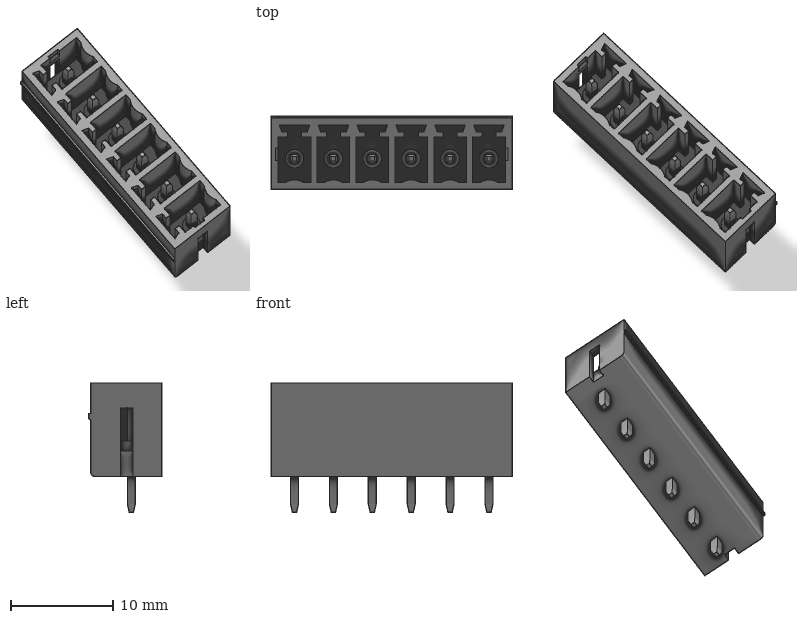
import cadquery as cq

PIN_COUNT = 6
PITCH = 3.81

LENGTH = 23.65
FRONT_Y = -3.0
BACK_Y = 4.0
HEIGHT = 9.2
FLOOR_Z = 2.5
BOTTOM_EDGE_RADIUS = 0.5

RIB_DEPTH = 0.2
RIB_TOP_Z = 6.2
RIB_HEIGHT = 0.6
RIB_CHAMFER = 0.1

CAVITY_WIDTH = 3.2
CAVITY_FRONT_Y = -2.35
CAVITY_BACK_Y = 2.14
FRONT_BULGE_WIDTH = 1.84
FRONT_BULGE_HEIGHT = 0.28
NECK_WIDTH = 1.4
NECK_BACK_Y = 2.64
KEYWAY_BACK_Y = 3.3
KEYWAY_NARROW_WIDTH = 2.5
KEYWAY_WIDE_WIDTH = 2.97

PIN_WIDTH = 0.8
PIN_TIP_WIDTH = 0.43
PIN_TIP_LENGTH = 0.85
PIN_BOTTOM_Z = -3.5
PIN_TOP_Z = 7.8
BOSS_DIAMETER = 1.8
BOSS_HEIGHT = 1.0

SLOT_WIDTH = 1.2
SLOT_CENTER_Y = 0.45
SLOT_TOP_Z = HEIGHT - 2.45
NOTCH_DEPTH = 0.24
NOTCH_DEEP_Z = HEIGHT - 1.1
NOTCH_END_Z = HEIGHT - 1.6

pin_positions = [(i - (PIN_COUNT - 1) / 2) * PITCH for i in range(PIN_COUNT)]
end_x = LENGTH / 2
end_wall_inner_x = pin_positions[-1] + CAVITY_WIDTH / 2


def make_housing():
    """Solid block with a rounded lower back edge and a full-length back rib."""
    block = (
        cq.Workplane("XY")
        .box(LENGTH, BACK_Y - FRONT_Y, HEIGHT, centered=(True, False, False))
        .translate((0, FRONT_Y, 0))
        .edges(">Y and <Z")
        .fillet(BOTTOM_EDGE_RADIUS)
    )
    rib_bottom_z = RIB_TOP_Z - RIB_HEIGHT
    rib_y = BACK_Y + RIB_DEPTH
    root_y = BACK_Y - RIB_DEPTH
    rib = (
        cq.Workplane("YZ", origin=(-end_x, 0, 0))
        .moveTo(root_y, RIB_TOP_Z)
        .lineTo(rib_y, RIB_TOP_Z)
        .lineTo(rib_y, rib_bottom_z + RIB_CHAMFER)
        .lineTo(rib_y - RIB_CHAMFER, rib_bottom_z)
        .lineTo(root_y, rib_bottom_z)
        .close()
        .extrude(LENGTH)
    )
    return block.union(rib)


def make_cavity(x):
    """Plug cavity with a bulged front wall and a dovetail keyway at the back."""
    half = CAVITY_WIDTH / 2
    half_bulge = FRONT_BULGE_WIDTH / 2
    half_neck = NECK_WIDTH / 2
    half_narrow = KEYWAY_NARROW_WIDTH / 2
    half_wide = KEYWAY_WIDE_WIDTH / 2
    return (
        cq.Workplane("XY", origin=(x, 0, FLOOR_Z))
        .moveTo(-half, CAVITY_FRONT_Y)
        .lineTo(-half_bulge, CAVITY_FRONT_Y)
        .threePointArc((0, CAVITY_FRONT_Y + FRONT_BULGE_HEIGHT), (half_bulge, CAVITY_FRONT_Y))
        .lineTo(half, CAVITY_FRONT_Y)
        .lineTo(half, CAVITY_BACK_Y)
        .lineTo(half_neck, CAVITY_BACK_Y)
        .lineTo(half_neck, NECK_BACK_Y)
        .lineTo(half_narrow, NECK_BACK_Y)
        .lineTo(half_wide, KEYWAY_BACK_Y)
        .lineTo(-half_wide, KEYWAY_BACK_Y)
        .lineTo(-half_narrow, NECK_BACK_Y)
        .lineTo(-half_neck, NECK_BACK_Y)
        .lineTo(-half_neck, CAVITY_BACK_Y)
        .lineTo(-half, CAVITY_BACK_Y)
        .close()
        .extrude(HEIGHT - FLOOR_Z)
    )


def make_end_openings():
    """Slot and notch of the +X end wall, as one body to cut away."""
    slot_front_y = SLOT_CENTER_Y - SLOT_WIDTH / 2
    slot = (
        cq.Workplane("XY")
        .box(end_x - end_wall_inner_x, SLOT_WIDTH, SLOT_TOP_Z, centered=False)
        .translate((end_wall_inner_x, slot_front_y, 0))
    )
    notch_x = end_wall_inner_x + NOTCH_DEPTH
    notch = (
        cq.Workplane("XZ", origin=(0, slot_front_y, 0))
        .moveTo(end_wall_inner_x, HEIGHT)
        .lineTo(notch_x, HEIGHT)
        .lineTo(notch_x, NOTCH_DEEP_Z)
        .lineTo(end_wall_inner_x, NOTCH_END_Z)
        .close()
        .extrude(-SLOT_WIDTH)
    )
    return slot.add(notch).combine()


def make_pin_tip(x, base_z, direction):
    """Tapered square tip that starts at base_z and points up (1) or down (-1)."""
    return (
        cq.Workplane("XY", origin=(x, 0, base_z))
        .rect(PIN_WIDTH, PIN_WIDTH)
        .workplane(offset=direction * PIN_TIP_LENGTH)
        .rect(PIN_TIP_WIDTH, PIN_TIP_WIDTH)
        .loft(ruled=True)
    )


def make_contact(x):
    """Square pin tapered at both ends, with the boss that surrounds its foot."""
    shank_bottom_z = PIN_BOTTOM_Z + PIN_TIP_LENGTH
    shank_top_z = PIN_TOP_Z - PIN_TIP_LENGTH
    shank = (
        cq.Workplane("XY", origin=(x, 0, shank_bottom_z))
        .rect(PIN_WIDTH, PIN_WIDTH)
        .extrude(shank_top_z - shank_bottom_z)
    )
    boss = (
        cq.Workplane("XY", origin=(x, 0, FLOOR_Z))
        .circle(BOSS_DIAMETER / 2)
        .extrude(BOSS_HEIGHT)
    )
    upper_tip = make_pin_tip(x, shank_top_z, 1)
    lower_tip = make_pin_tip(x, shank_bottom_z, -1)
    return shank.union(boss).union(upper_tip).union(lower_tip)


part = make_housing()
for pin_x in pin_positions:
    part = part.cut(make_cavity(pin_x))

end_openings = make_end_openings()
part = part.cut(end_openings)
part = part.cut(end_openings.mirror("YZ"))

for pin_x in pin_positions:
    part = part.union(make_contact(pin_x))

result = part